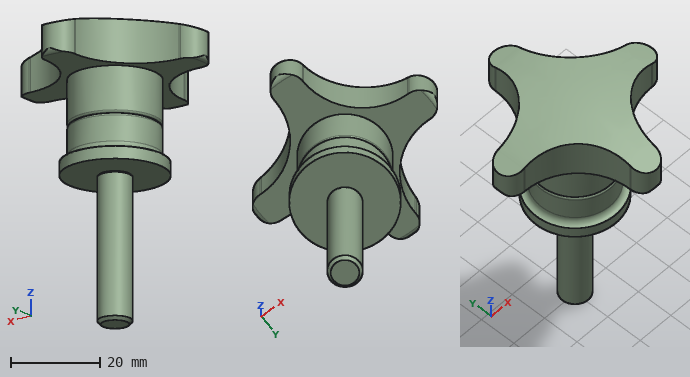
import cadquery as cq
import math

SEAT_Z = 0.0
STUD_LENGTH = 35.0
FLANGE_THICKNESS = 3.0
GROOVE_Z = 11.5
HEAD_BOTTOM_Z = 22.5
HEAD_TOP_Z = 34.0

HEAD_RADIUS = 25.0
ARM_COUNT = 4
ARM_RADIUS = 4.0
VALLEY_RADIUS = 16.6
DOME_RADIUS = 70.0
HEAD_EDGE_FILLET = 1.2

FLANGE_RADIUS = 12.5
HUB_RADIUS = 10.75
FLANGE_FILLET = FLANGE_RADIUS - HUB_RADIUS
GROOVE_EDGE_RADIUS = 0.6

STUD_RADIUS = 4.0
STUD_TIP_CHAMFER = 0.8
STUD_ROOT_CHAMFER = 0.4

COS_45 = math.cos(math.radians(45))


def polar(radius, angle):
    """Point at a radius and an angle in degrees."""
    turn = math.radians(angle)
    return (radius * math.cos(turn), radius * math.sin(turn))


def arm_point(along, across, angle):
    """Point given along and across an arm that lies at an angle in degrees."""
    x_along, y_along = polar(along, angle)
    x_across, y_across = polar(across, angle + 90)
    return (x_along + x_across, y_along + y_across)


def star_prism():
    """Star with rounded arm tips, joined by concave arcs tangent to the straight arm sides."""
    tip_center = HEAD_RADIUS - ARM_RADIUS
    valley_center = VALLEY_RADIUS + ARM_RADIUS
    valley_depth = valley_center / COS_45 - VALLEY_RADIUS
    arm_step = 360 / ARM_COUNT

    outline = cq.Workplane("XY", origin=(0, 0, HEAD_BOTTOM_Z))
    outline = outline.moveTo(*arm_point(tip_center, -ARM_RADIUS, 0))
    for index in range(ARM_COUNT):
        angle = index * arm_step
        next_angle = angle + arm_step
        outline = outline.threePointArc(
            polar(HEAD_RADIUS, angle),
            arm_point(tip_center, ARM_RADIUS, angle),
        )
        outline = outline.lineTo(*arm_point(valley_center, ARM_RADIUS, angle))
        outline = outline.threePointArc(
            polar(valley_depth, angle + arm_step / 2),
            arm_point(valley_center, -ARM_RADIUS, next_angle),
        )
        outline = outline.lineTo(*arm_point(tip_center, -ARM_RADIUS, next_angle))
    return outline.close().extrude(HEAD_TOP_Z - HEAD_BOTTOM_Z)


def dome_disc():
    """Round disc with a domed top and a filleted bottom edge."""

    def dome_height(radius):
        return HEAD_TOP_Z - DOME_RADIUS + math.sqrt(DOME_RADIUS**2 - radius**2)

    fillet_center_r = HEAD_RADIUS - HEAD_EDGE_FILLET
    fillet_center_z = HEAD_BOTTOM_Z + HEAD_EDGE_FILLET
    fillet_middle = (
        fillet_center_r + HEAD_EDGE_FILLET * COS_45,
        fillet_center_z - HEAD_EDGE_FILLET * COS_45,
    )
    dome_middle_r = HEAD_RADIUS / 2
    profile = (
        cq.Workplane("XZ")
        .moveTo(0, HEAD_BOTTOM_Z)
        .lineTo(fillet_center_r, HEAD_BOTTOM_Z)
        .threePointArc(fillet_middle, (HEAD_RADIUS, fillet_center_z))
        .lineTo(HEAD_RADIUS, dome_height(HEAD_RADIUS))
        .threePointArc((dome_middle_r, dome_height(dome_middle_r)), (0, HEAD_TOP_Z))
        .close()
    )
    return profile.revolve(360, (0, 0), (0, 1))


def head():
    """Four-armed star cut to the domed, edge-rounded disc."""
    return star_prism().intersect(dome_disc())


def hub():
    """Round hub with a base flange, a concave fillet above it and a groove between rounded edges."""
    flange_top = SEAT_Z + FLANGE_THICKNESS
    fillet_top = flange_top + FLANGE_FILLET
    fillet_middle = (
        FLANGE_RADIUS - FLANGE_FILLET * COS_45,
        fillet_top - FLANGE_FILLET * COS_45,
    )
    groove_bottom_r = HUB_RADIUS - GROOVE_EDGE_RADIUS
    edge_middle_r = groove_bottom_r + GROOVE_EDGE_RADIUS * COS_45
    edge_middle_rise = GROOVE_EDGE_RADIUS * (1 - COS_45)
    groove_top = (HUB_RADIUS, GROOVE_Z + GROOVE_EDGE_RADIUS)
    profile = (
        cq.Workplane("XZ")
        .moveTo(0, SEAT_Z)
        .lineTo(FLANGE_RADIUS, SEAT_Z)
        .lineTo(FLANGE_RADIUS, flange_top)
        .threePointArc(fillet_middle, (HUB_RADIUS, fillet_top))
        .lineTo(HUB_RADIUS, GROOVE_Z - GROOVE_EDGE_RADIUS)
        .threePointArc((edge_middle_r, GROOVE_Z - edge_middle_rise), (groove_bottom_r, GROOVE_Z))
        .threePointArc((edge_middle_r, GROOVE_Z + edge_middle_rise), groove_top)
        .lineTo(HUB_RADIUS, HEAD_BOTTOM_Z)
        .lineTo(0, HEAD_BOTTOM_Z)
        .close()
    )
    return profile.revolve(360, (0, 0), (0, 1))


def stud():
    """Plain stud below the flange, chamfered at its root and its tip."""
    return (
        cq.Workplane("XY", origin=(0, 0, SEAT_Z))
        .circle(STUD_RADIUS)
        .extrude(-STUD_LENGTH)
        .faces(">Z")
        .chamfer(STUD_ROOT_CHAMFER)
        .faces("<Z")
        .chamfer(STUD_TIP_CHAMFER)
    )


result = head().union(hub()).union(stud())